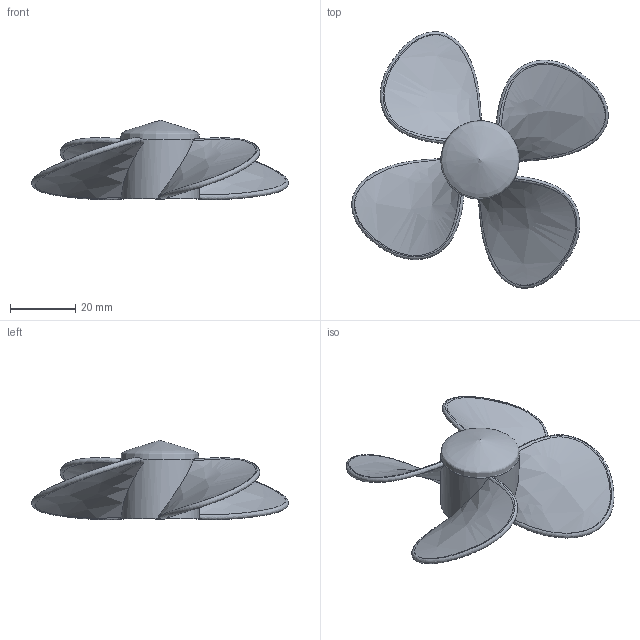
import cadquery as cq
import math

HUB_RADIUS = 12.0
HUB_HEIGHT = 18.0
NOSE_HEIGHT = 24.0
CONE_SLOPE_ANGLE = 17.0

BLADE_COUNT = 4
RIM_RADIUS = 0.8
SHEET_THICKNESS = 1.5
RIM_STEPS = 30
MID_HEIGHT = HUB_HEIGHT / 2

OUTER_MID_ANGLE = -53.8
ROOT_LAG_ANGLE = 4.7
OUTER_RISE_PER_DEGREE = 0.256
ROOT_EXTRA_RISE = 0.025
ROOT_FADE_POWER = 3

RIM_POINTS = [
    (10.5, -88.8),
    (20.0, -87.1),
    (30.0, -83.3),
    (37.0, -77.8),
    (40.2, -72.5),
    (41.6, -63.0),
    (40.2, -51.3),
    (38.2, -41.3),
    (34.0, -30.0),
    (28.0, -22.5),
    (22.0, -20.7),
    (16.0, -22.9),
    (12.0, -28.3),
    (10.5, -31.8),
]

SURFACE_INNER_RADIUS = 8.5
SURFACE_OUTER_RADIUS = 44.0
SURFACE_MIN_ANGLE = -100.0
SURFACE_MAX_ANGLE = -10.0
SURFACE_STEPS = 10
SURFACE_TOLERANCE = 0.02
SMALL_STEP = 0.01

UP = cq.Vector(0, 0, 1)


def polar(radius, angle):
    """Plan position at a radius and an angle in degrees about the hub axis."""
    return radius * math.cos(math.radians(angle)), radius * math.sin(math.radians(angle))


def blade_height(radius, angle):
    """Height of the blade's middle surface."""
    root_share = (HUB_RADIUS / radius) ** ROOT_FADE_POWER
    mid_angle = OUTER_MID_ANGLE - ROOT_LAG_ANGLE * root_share
    rise = OUTER_RISE_PER_DEGREE + ROOT_EXTRA_RISE * root_share
    return MID_HEIGHT + rise * (angle - mid_angle)


def blade_point(radius, angle):
    """Point of the blade's middle surface."""
    x, y = polar(radius, angle)
    return cq.Vector(x, y, blade_height(radius, angle))


def blade_normal(radius, angle):
    """Upward normal of the blade's middle surface."""
    point = blade_point(radius, angle)
    outward = blade_point(radius + SMALL_STEP, angle) - point
    around = blade_point(radius, angle + SMALL_STEP) - point
    return outward.cross(around).normalized()


def sheet_bottom_point(radius, angle):
    """Point half a sheet thickness below the middle surface."""
    return blade_point(radius, angle) - blade_normal(radius, angle) * (SHEET_THICKNESS / 2)


def spread(start, end):
    """Evenly spaced values from start to end."""
    return [start + (end - start) * i / SURFACE_STEPS for i in range(SURFACE_STEPS + 1)]


def make_hub():
    """Cylinder with a cap that curves smoothly from the wall into a shallow cone."""
    cylinder = cq.Workplane("XY").circle(HUB_RADIUS).extrude(HUB_HEIGHT)
    corner_height = NOSE_HEIGHT - HUB_RADIUS * math.tan(math.radians(CONE_SLOPE_ANGLE))
    corner = (HUB_RADIUS, corner_height)
    cap = (
        cq.Workplane("XZ")
        .moveTo(0, HUB_HEIGHT)
        .lineTo(HUB_RADIUS, HUB_HEIGHT)
        .bezier([corner, corner, corner, (0, NOSE_HEIGHT)], includeCurrent=True)
        .close()
        .revolve(360, (0, 0, 0), (0, 1, 0))
    )
    return cylinder.union(cap, clean=False)


def rim_samples():
    """Closely spaced (radius, angle) places along a smooth curve through the rim points."""
    curve = cq.Edge.makeSpline([cq.Vector(*polar(radius, angle)) for radius, angle in RIM_POINTS])
    places = curve.positions([i / RIM_STEPS for i in range(RIM_STEPS + 1)])
    return [(math.hypot(place.x, place.y), math.degrees(math.atan2(place.y, place.x))) for place in places]


def make_sheet(rim):
    """Twisted sheet of the blade, cut square to its surface along the rim centre line."""
    grid = [
        [sheet_bottom_point(radius, angle) for angle in spread(SURFACE_MIN_ANGLE, SURFACE_MAX_ANGLE)]
        for radius in spread(SURFACE_INNER_RADIUS, SURFACE_OUTER_RADIUS)
    ]
    surface = cq.Face.makeSplineApprox(grid, tol=SURFACE_TOLERANCE, minDeg=3, maxDeg=5)
    bottom_edge = [sheet_bottom_point(radius, angle) for radius, angle in rim]
    outline = (
        cq.Workplane("XY", origin=(0, 0, -HUB_HEIGHT))
        .spline([(point.x, point.y) for point in bottom_edge])
        .close()
        .extrude(3 * HUB_HEIGHT)
    )
    bottom_face = surface.intersect(outline.val()).faces()
    return cq.Workplane(bottom_face.thicken(SHEET_THICKNESS))


def make_rim(rim):
    """Round tube along the edge of the blade, with both ends inside the hub."""
    centre_line = cq.Edge.makeSpline([blade_point(radius, angle) for radius, angle in rim])
    rings = []
    for step, (radius, angle) in enumerate(rim):
        tangent = centre_line.tangentAt(step / RIM_STEPS)
        plane = cq.Plane(blade_point(radius, angle), xDir=UP, normal=tangent)
        rings.append(cq.Workplane(plane).circle(RIM_RADIUS).wires().val())
    return cq.Workplane(cq.Solid.makeLoft(rings))


def make_blade():
    """Sheet and rim joined."""
    rim = rim_samples()
    return make_sheet(rim).union(make_rim(rim), clean=False)


blade = make_blade()
result = make_hub()
for index in range(BLADE_COUNT):
    turned_blade = blade.rotate((0, 0, 0), (0, 0, 1), index * 360 / BLADE_COUNT)
    result = result.union(turned_blade, clean=False)